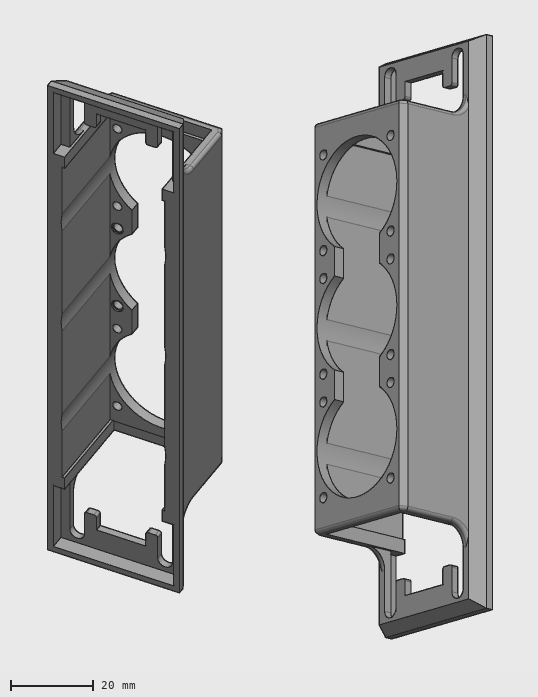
import cadquery as cq

frame_width = 36.0
frame_height = 144.0
frame_rim_depth = 2.0
frame_depth = 6.0
frame_taper = 2.0

total_depth = 28.0
body_width = frame_width - 2 * frame_taper
body_height = 103.0
body_inner_width = 28.0
back_thickness = 3.0
back_edge_chamfer_depth = 2.0
back_edge_chamfer_inset = 1.0
end_fillet = 1.0
flare_radius = 5.2

rib_inner_width = 26.6
rib_height = 3.5
end_web_thickness = 2.2

opening_radius = 14.25
opening_pitch = 31.0
neck_width = 16.0

screw_offset = 12.0
screw_diameter = 2.5
recess_diameter = 3.2
recess_depth = 0.5
recessed_screws = [(-1, 1), (1, 1), (-1, -1)]

pocket_rim = 1.6
pocket_width = frame_width - 2 * pocket_rim
pocket_end = frame_height / 2 - pocket_rim
pocket_depth = 4.0
window_width = body_inner_width
slot_width = 4.0
slot_end = 69.0
tab_width = 3.3
tab_end = 60.1
tab_corner_radius = 0.7
notch_end = 64.5


def box(width, y_front, y_back, z_low, z_high):
    """Block centred on X = 0."""
    return cq.Workplane("XY", origin=(0, y_front, z_low)).box(
        width, y_back - y_front, z_high - z_low, centered=(True, False, False)
    )


def cylinder(x, z, radius, y_front, y_back):
    """Cylinder along Y."""
    return cq.Workplane("XZ", origin=(x, y_front, z)).circle(radius).extrude(y_front - y_back)


def both_ends(solid):
    """The solid together with its mirror image across Z = 0."""
    return solid.union(solid.mirror("XY"))


def make_frame():
    """Straight rim at the front, tapering behind it down to the body width."""
    rim = box(frame_width, 0, frame_rim_depth, -frame_height / 2, frame_height / 2)
    taper = (
        cq.Workplane("XZ", origin=(0, frame_rim_depth, 0))
        .rect(frame_width, frame_height)
        .workplane(offset=frame_rim_depth - frame_depth)
        .rect(body_width, frame_height - 2 * frame_taper)
        .loft(ruled=True)
    )
    return rim.union(taper)


def make_body():
    """Solid body with chamfered back edges, flared into the frame and rounded at both ends."""
    half = body_width / 2
    half_height = body_height / 2
    shoulder_y = total_depth - back_edge_chamfer_depth
    back_half = half - back_edge_chamfer_inset
    flare_y = frame_depth + flare_radius
    flare_top = half_height + flare_radius
    profile = (
        cq.Workplane("XY", origin=(0, 0, -flare_top))
        .moveTo(-half, frame_rim_depth)
        .lineTo(-half, shoulder_y)
        .lineTo(-back_half, total_depth)
        .lineTo(back_half, total_depth)
        .lineTo(half, shoulder_y)
        .lineTo(half, frame_rim_depth)
        .close()
        .extrude(2 * flare_top)
    )
    end_trim = (
        cq.Workplane("YZ", origin=(-half, 0, 0))
        .moveTo(frame_depth, flare_top)
        .radiusArc((flare_y, half_height), -flare_radius)
        .lineTo(total_depth, half_height)
        .lineTo(total_depth, flare_top)
        .close()
        .extrude(body_width)
    )
    body = profile.cut(both_ends(end_trim))
    behind_frame = cq.selectors.BoxSelector(
        (-body_width, frame_depth, -frame_height), (body_width, total_depth + frame_depth, frame_height)
    )
    return body.edges(behind_frame).edges("(>Y and |X) or (not (|X or |Z))").fillet(end_fillet)


def make_channel():
    """Hollow between the side walls, narrowed by the end ribs."""
    half_height = body_height / 2
    rib_start = half_height - rib_height
    hollow = box(body_inner_width, 0, total_depth - back_thickness, -rib_start, rib_start)
    rib_gap = box(rib_inner_width, 0, total_depth - end_web_thickness, rib_start, half_height)
    return hollow.union(both_ends(rib_gap))


def make_end_cut():
    """Pocket and window at the upper end of the frame, leaving the mounting plate."""
    start = body_height / 2
    pocket = box(pocket_width, 0, pocket_depth, start, pocket_end)
    slot_center_z = slot_end - slot_width / 2
    window = box(window_width, 0, flare_radius + frame_depth, start, slot_center_z)
    for side in (-1, 1):
        slot_center_x = side * (window_width - slot_width) / 2
        window = window.union(cylinder(slot_center_x, slot_center_z, slot_width / 2, 0, frame_depth))
    tongue_width = window_width - 2 * slot_width
    tongue = (
        box(tongue_width, 0, frame_depth, tab_end, slot_end)
        .cut(box(tongue_width - 2 * tab_width, 0, frame_depth, tab_end, notch_end))
        .faces("<Z")
        .edges("|Y")
        .fillet(tab_corner_radius)
    )
    return window.cut(tongue).union(pocket)


def make_openings():
    """Three round openings along Z with a straight neck between neighbours."""
    span = 2 * opening_pitch
    openings = box(neck_width, 0, total_depth, -span / 2, span / 2)
    for row in (-1, 0, 1):
        openings = openings.union(cylinder(0, row * opening_pitch, opening_radius, 0, total_depth))
    return openings


def make_screw_holes():
    """Four holes around each opening; some at the middle one have a shallow recess at the front."""
    floor_y = total_depth - back_thickness
    holes = cq.Workplane("XZ")
    for row in (-1, 0, 1):
        for side in (-1, 1):
            for end in (-1, 1):
                x = side * screw_offset
                z = row * opening_pitch + end * screw_offset
                holes = holes.add(cylinder(x, z, screw_diameter / 2, floor_y, total_depth))
    for side, end in recessed_screws:
        x = side * screw_offset
        z = end * screw_offset
        holes = holes.add(cylinder(x, z, recess_diameter / 2, floor_y, floor_y + recess_depth))
    return holes.combine()


result = (
    make_frame()
    .union(make_body())
    .cut(make_channel())
    .cut(both_ends(make_end_cut()))
    .cut(make_openings())
    .cut(make_screw_holes())
)